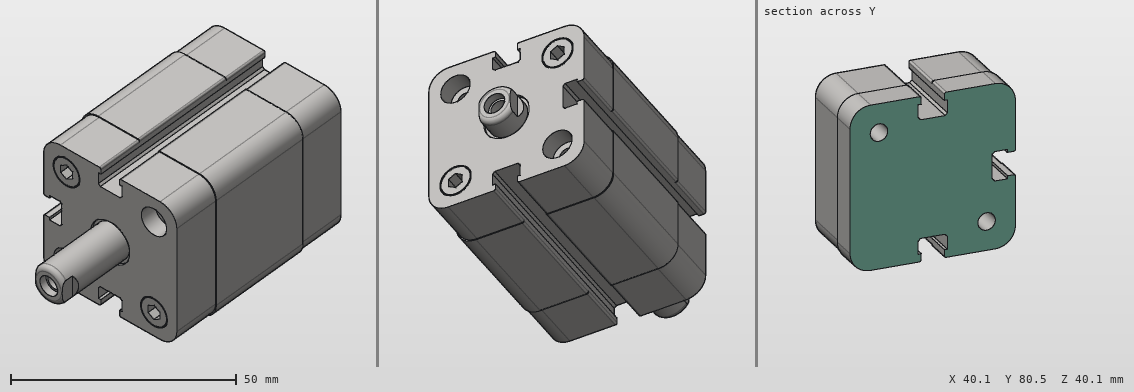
import cadquery as cq
import math


barrel_width = 40.1
barrel_length = 28.9
cap_width = 39.6
cap_length = 12.9
corner_radius = 5.0
body_length = barrel_length + 2 * cap_length
body_end = body_length / 2

slot_mouth_width = 5.55
slot_mouth_rounding = 0.5
slot_width = 7.0
slot_lip_depth = 2.0
slot_depth = 5.6
slot_floor_bevel = 0.6

total_length = 80.5
rod_diameter = 10.0
rear_overhang = 5.4
front_overhang = total_length - body_length - rear_overhang
rod_tip_diameter = 7.5
rod_tip_radius = (rod_diameter - rod_tip_diameter) / 2

flats_width = 8.0
flats_length = 3.4

bore_diameter = 4.1
bore_depth = 8.05
bore_mouth_diameter = 5.2
bore_mouth_depth = 2.0
drill_point_angle = 118
drill_point_height = bore_diameter / 2 / math.tan(math.radians(drill_point_angle / 2))

rod_ring_diameter = 11.6
rod_ring_depth = 0.8

corner_pitch = 26.0
corner_offset = corner_pitch / 2
hole_diameter = 4.1
counterbore_diameter = 7.5
counterbore_depth = 4.6
screw_seat_diameter = 8.0
screw_head_diameter = 7.5
screw_ring_depth = 0.5
socket_corner_diameter = 4.0
socket_depth = 3.2

hole_corners = [(corner_offset, corner_offset), (-corner_offset, -corner_offset)]
screw_corners = [(-corner_offset, corner_offset), (corner_offset, -corner_offset)]


def plane_at(y):
    """XZ plane at the given Y; extruding from it goes toward -Y."""
    return cq.Workplane("XZ", origin=(0, y, 0))


def slot_cutter(face_distance, length):
    """+X half of a T-slot in the top face, with a rounded mouth edge and a bevelled floor corner."""
    mouth = slot_mouth_width / 2
    half = slot_width / 2
    lip = barrel_width / 2 - slot_lip_depth
    floor = barrel_width / 2 - slot_depth
    r = slot_mouth_rounding
    arc_mid = r * (1 - 0.5 ** 0.5)
    return (
        plane_at(length / 2)
        .moveTo(mouth + r, face_distance)
        .threePointArc((mouth + arc_mid, face_distance - arc_mid), (mouth, face_distance - r))
        .lineTo(mouth, lip)
        .lineTo(half, lip)
        .lineTo(half, floor + slot_floor_bevel)
        .lineTo(half - slot_floor_bevel, floor)
        .lineTo(0, floor)
        .lineTo(0, face_distance)
        .close()
        .extrude(length)
    )


def section(width, length):
    """Rounded square prism centred on the origin, with its three T-slots."""
    block = cq.Workplane("XY").box(width, length, width).edges("|Y").fillet(corner_radius)
    half_slot = slot_cutter(width / 2, length)
    slot = half_slot.union(half_slot.mirror("YZ"))
    for angle in (0, 180, -90):
        block = block.cut(slot.rotate((0, 0, 0), (0, 1, 0), angle))
    return block


def cylinder(diameter, y_start, y_end, points=((0, 0),)):
    """Cylinders along Y between two Y positions."""
    return plane_at(y_end).pushPoints(points).circle(diameter / 2).extrude(y_end - y_start)


def front_cap_cuts():
    """Recesses in the front cap face: rod ring, counterbores, screw head outlines and sockets."""
    face = -body_end
    ring = cylinder(rod_ring_diameter, face, face + rod_ring_depth)
    counterbores = cylinder(counterbore_diameter, face, face + counterbore_depth, hole_corners)
    seats = cylinder(screw_seat_diameter, face, face + screw_ring_depth, screw_corners)
    heads = cylinder(screw_head_diameter, face, face + screw_ring_depth, screw_corners)
    socket = (
        plane_at(face + socket_depth)
        .polygon(6, socket_corner_diameter)
        .extrude(socket_depth)
        .rotate((0, 0, 0), (0, 1, 0), 90)
    )
    cuts = ring.union(counterbores).union(seats.cut(heads))
    for x, z in screw_corners:
        cuts = cuts.union(socket.translate((x, 0, z)))
    return cuts


def rod_end_cuts(tip):
    """Wrench flats and stepped hole for a rod end at Y = -tip."""
    flat = flats_width / 2
    ramp = (rod_diameter - flats_width) / 2
    outer = rod_diameter / 2
    flats_side = (
        cq.Workplane("XY")
        .polyline([
            (flat, -tip),
            (flat, -tip + flats_length),
            (outer, -tip + flats_length + ramp),
            (outer, -tip),
        ])
        .close()
        .extrude(outer, both=True)
    )
    hole = (
        cq.Workplane("XY")
        .polyline([
            (0, -tip),
            (bore_mouth_diameter / 2, -tip),
            (bore_mouth_diameter / 2, -tip + bore_mouth_depth),
            (bore_diameter / 2, -tip + bore_mouth_depth),
            (bore_diameter / 2, -tip + bore_depth),
            (0, -tip + bore_depth + drill_point_height),
        ])
        .close()
        .revolve(360, (0, 0, 0), (0, 1, 0))
    )
    return flats_side.union(flats_side.mirror("YZ")).union(hole)


def make_body():
    """End caps and barrel, with the recesses of both cap faces and the through holes."""
    body = section(cap_width, body_length)
    barrel_slab = cq.Workplane("XY").box(barrel_width, barrel_length, barrel_width)
    body = body.cut(barrel_slab).union(section(barrel_width, barrel_length))
    front_cuts = front_cap_cuts()
    body = body.cut(front_cuts).cut(front_cuts.mirror("XZ"))
    return body.cut(cylinder(hole_diameter, -body_end, body_end, hole_corners))


def make_rod():
    """Through rod with rounded tips, wrench flats and end holes."""
    front_tip = body_end + front_overhang
    rear_tip = body_end + rear_overhang
    rod = cylinder(rod_diameter, -front_tip, rear_tip).edges("%CIRCLE").fillet(rod_tip_radius)
    rod = rod.cut(rod_end_cuts(front_tip))
    return rod.cut(rod_end_cuts(rear_tip).mirror("XZ"))


result = make_body().union(make_rod())